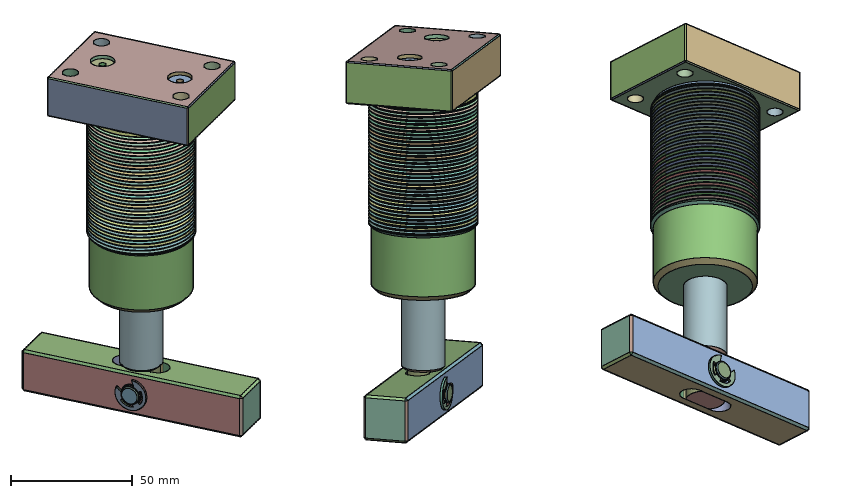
import cadquery as cq
import math

bar_length = 100.0
bar_side = 19.0
bar_chamfer = 1.0
pin_hole_chamfer = 0.5
slot_length = 25.0
slot_width = 9.6

overall_height = 155.0
flange_length = 64.0
flange_width = 46.0
flange_thickness = 18.0
flange_chamfer = 0.5
mount_hole_diameter = 6.7
mount_hole_spacing_x = 50.0
mount_hole_spacing_y = 30.0
port_spacing = 35.0
port_recess_diameter = 10.0
port_recess_depth = 1.5
port_hole_diameter = 3.0

barrel_radius = 21.4
barrel_bottom = 52.9
barrel_bevel = 2.0
thread_radius = 22.5
thread_pitch = 1.5
thread_bottom = 80.9
turns_per_block = 4
block_count = 9
thread_root_width = 0.19
thread_mouth_width = 1.4
thread_overshoot = 0.2

rod_radius = 9.0
rod_chamfer = 1.0
shoulder_gap = 0.5
tongue_radius = rod_radius - rod_chamfer
tongue_width = slot_width

pin_radius = 4.0
pin_chamfer = 0.5
pin_overhang = 1.0
groove_radius = 3.0
clip_thickness = 1.0
clip_radius = 7.0
clip_relief_radius = 5.5
relief_start_angle = 19
relief_end_angle = 87
mouth_angle = 122
mouth_inner_half_width = 2.5
mouth_outer_half_width = 4.5

thread_depth = thread_radius - barrel_radius
block_height = turns_per_block * thread_pitch
thread_top = thread_bottom + block_count * block_height
flange_bottom = overall_height - flange_thickness
pin_height = bar_side / 2
shoulder_height = bar_side + shoulder_gap
clip_inner_y = bar_side / 2
clip_outer_y = clip_inner_y + clip_thickness
pin_end_y = clip_outer_y + pin_overhang


def disc_along_y(radius, y_start, y_end):
    """Cylinder on the pivot axis between two Y positions."""
    return (
        cq.Workplane("XZ", origin=(0, y_start, pin_height))
        .circle(radius)
        .extrude(y_start - y_end)
    )


def make_flange():
    flange = (
        cq.Workplane("XY", origin=(0, 0, flange_bottom))
        .box(flange_length, flange_width, flange_thickness, centered=(True, True, False))
        .edges()
        .chamfer(flange_chamfer)
    )
    flange = (
        flange.faces(">Z")
        .workplane(origin=(0, 0, overall_height))
        .rect(mount_hole_spacing_x, mount_hole_spacing_y, forConstruction=True)
        .vertices()
        .hole(mount_hole_diameter)
    )
    return flange


def cut_ports(body):
    port_places = [(-port_spacing / 2, 0), (port_spacing / 2, 0)]
    return (
        body.faces(">Z")
        .workplane(origin=(0, 0, overall_height))
        .pushPoints(port_places)
        .cboreHole(port_hole_diameter, port_recess_diameter, port_recess_depth, flange_thickness)
    )


def make_lower_barrel():
    """Plain barrel, bevelled at the foot and widening to the thread at the top."""
    return (
        cq.Workplane("XZ")
        .polyline([
            (0, barrel_bottom),
            (barrel_radius - barrel_bevel, barrel_bottom),
            (barrel_radius, barrel_bottom + barrel_bevel),
            (barrel_radius, thread_bottom - thread_depth),
            (thread_radius, thread_bottom),
            (0, thread_bottom),
        ])
        .close()
        .revolve(360, (0, 0), (0, 1))
    )


def make_collar():
    """Bevelled neck between the thread and the flange."""
    return (
        cq.Workplane("XZ")
        .polyline([
            (0, thread_top),
            (thread_radius, thread_top),
            (barrel_radius, thread_top + thread_depth),
            (barrel_radius, flange_bottom),
            (0, flange_bottom),
        ])
        .close()
        .revolve(360, (0, 0), (0, 1))
    )


def make_groove_turn():
    """One right-hand turn of the thread groove, of trapezoid section and open to the outside."""
    cutter_radius = thread_radius + thread_overshoot
    root_start = (thread_mouth_width - thread_root_width) / 2
    section = [
        (barrel_radius, root_start),
        (cutter_radius, 0),
        (cutter_radius, thread_mouth_width),
        (barrel_radius, root_start + thread_root_width),
    ]
    helices = [
        cq.Wire.makeHelix(thread_pitch, thread_pitch, radius).translate(cq.Vector(0, 0, height))
        for radius, height in section
    ]
    faces = [
        cq.Face.makeRuledSurface(helix, helices[index - 1])
        for index, helix in enumerate(helices)
    ]
    for end in (0, 1):
        corners = [helix.positionAt(end) for helix in helices]
        faces.append(cq.Face.makeFromWires(cq.Wire.makePolygon(corners, close=True)))
    return cq.Solid.makeSolid(cq.Shell.makeShell(faces))


def make_thread_blocks():
    """Equal threaded blocks, each a whole number of turns, stacked end to end."""
    groove_turn = make_groove_turn()
    groove_start = -1.5 * thread_pitch
    grooves = [
        groove_turn.translate(cq.Vector(0, 0, groove_start + turn * thread_pitch))
        for turn in range(turns_per_block + 2)
    ]
    block = cq.Workplane("XY").circle(thread_radius).extrude(block_height).val().cut(*grooves)
    return [
        block.translate(cq.Vector(0, 0, thread_bottom + index * block_height))
        for index in range(block_count)
    ]


def make_rod():
    rod = (
        cq.Workplane("XY", origin=(0, 0, shoulder_height))
        .circle(rod_radius)
        .extrude(barrel_bottom - shoulder_height)
        .faces("<Z")
        .chamfer(rod_chamfer)
    )
    tongue = cq.Workplane("XY").circle(tongue_radius).extrude(shoulder_height)
    flats = cq.Workplane("XY").rect(2 * rod_radius, tongue_width).extrude(shoulder_height)
    pin_hole = disc_along_y(pin_radius, -bar_side, bar_side)
    return rod.union(tongue.intersect(flats).cut(pin_hole))


def make_cylinder():
    lower_barrel = make_lower_barrel().union(make_rod())
    head = cut_ports(make_collar().union(make_flange()))
    joined = lower_barrel.val().fuse(*make_thread_blocks(), head.val(), glue=True)
    return cq.Workplane(joined).solids()


def make_crossbar():
    bar = (
        cq.Workplane("XY")
        .box(bar_length, bar_side, bar_side, centered=(True, True, False))
        .edges()
        .chamfer(bar_chamfer)
    )
    bar = bar.cut(disc_along_y(pin_radius, -bar_side, bar_side))
    bar = bar.edges("%CIRCLE").chamfer(pin_hole_chamfer)
    slot = cq.Workplane("XY").slot2D(slot_length, slot_width).extrude(bar_side)
    return bar.cut(slot)


def make_pin():
    pin = disc_along_y(pin_radius, -pin_end_y, pin_end_y).faces("<Y or >Y").chamfer(pin_chamfer)
    for side in (-1, 1):
        y_inner = side * clip_inner_y
        y_outer = side * clip_outer_y
        ring = disc_along_y(clip_radius, y_inner, y_outer).cut(
            disc_along_y(groove_radius, y_inner, y_outer)
        )
        pin = pin.cut(ring)
    return pin


def make_clip(side):
    """E-shaped clip in the pin groove; its mouth opens at the mouth angle in the XZ plane."""
    y_inner = side * clip_inner_y
    y_outer = side * clip_outer_y
    clip = disc_along_y(clip_radius, y_inner, y_outer).cut(
        disc_along_y(groove_radius, y_inner, y_outer)
    )

    def polar(radius, angle):
        turn = math.radians(angle)
        return (radius * math.cos(turn), radius * math.sin(turn))

    plane = cq.Workplane("XZ", origin=(0, y_inner, pin_height))
    back_angle = mouth_angle + 180
    for turn in (-1, 1):
        first = back_angle + turn * relief_start_angle
        last = back_angle + turn * relief_end_angle
        middle = (first + last) / 2
        relief = (
            plane.moveTo(*polar(0, first))
            .lineTo(*polar(clip_relief_radius, first))
            .threePointArc(polar(clip_relief_radius, middle), polar(clip_relief_radius, last))
            .close()
            .extrude(y_inner - y_outer)
        )
        clip = clip.cut(relief)
    mouth = (
        plane.transformed(rotate=(0, 0, mouth_angle))
        .polyline([
            (0, -mouth_inner_half_width),
            (clip_radius, -mouth_outer_half_width),
            (clip_radius, mouth_outer_half_width),
            (0, mouth_inner_half_width),
        ])
        .close()
        .extrude(y_inner - y_outer)
    )
    return clip.cut(mouth)


cylinder = make_cylinder()
crossbar = make_crossbar()
pin = make_pin()
clips = [make_clip(side) for side in (-1, 1)]

result = cq.Compound.makeCompound(
    [cylinder.val(), crossbar.val(), pin.val(), *[clip.val() for clip in clips]]
)